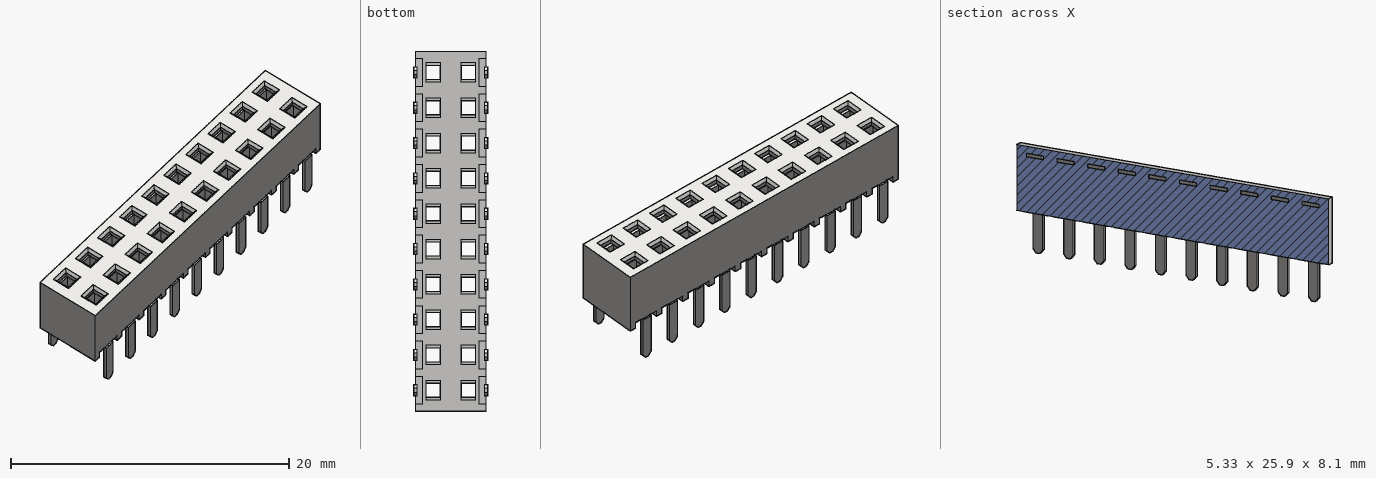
import cadquery as cq

ROW_COUNT = 10
PITCH = 2.54
COLUMN_SIDES = (-1, 1)
row_positions = [(row - (ROW_COUNT - 1) / 2) * PITCH for row in range(ROW_COUNT)]

HOUSING_WIDTH = 2 * PITCH
HOUSING_LENGTH = 25.9
HOUSING_HEIGHT = 5.0

SOCKET_SIZE = 1.0
LEAD_IN_DEPTH = 0.2
THROAT_DEPTH = 0.55
THROAT_BOTTOM = HOUSING_HEIGHT - THROAT_DEPTH

CHAMBER_LENGTH = 1.4
CHAMBER_INNER_STEP = 0.05

CONTACT_THICKNESS = 0.25
CONTACT_DEPTH = 0.8
CONTACT_TOP = HOUSING_HEIGHT - CONTACT_DEPTH

NOTCH_LENGTH = 2.0
NOTCH_HEIGHT = 0.5
NOTCH_DEPTH = (HOUSING_WIDTH - PITCH - SOCKET_SIZE) / 2 - CONTACT_THICKNESS

PIN_THICKNESS = 0.25
PIN_WIDTH = 0.8
PIN_DROP = 3.1
TIP_HEIGHT = 0.3
TIP_WIDTH = 0.3


def grid_points(column_offset):
    return [(side * column_offset, y) for side in COLUMN_SIDES for y in row_positions]


def make_housing():
    return cq.Workplane("XY").box(
        HOUSING_WIDTH, HOUSING_LENGTH, HOUSING_HEIGHT, centered=(True, True, False)
    )


def make_throats():
    return (
        cq.Workplane("XY")
        .pushPoints(grid_points(PITCH / 2))
        .rect(SOCKET_SIZE, SOCKET_SIZE)
        .extrude(HOUSING_HEIGHT)
    )


def make_lead_ins():
    top_size = SOCKET_SIZE + 2 * LEAD_IN_DEPTH
    lead_in = (
        cq.Workplane("XY", origin=(0, 0, HOUSING_HEIGHT - LEAD_IN_DEPTH))
        .rect(SOCKET_SIZE, SOCKET_SIZE)
        .workplane(offset=LEAD_IN_DEPTH)
        .rect(top_size, top_size)
        .loft(ruled=True)
        .val()
    )
    places = grid_points(PITCH / 2)
    return cq.Workplane("XY").pushPoints(places).eachpoint(lambda place: lead_in.moved(place))


def chamber_blocks(inner_edge, outer_edge, bottom):
    """One block per socket, between two distances from the middle plane X = 0."""
    return (
        cq.Workplane("XY", origin=(0, 0, bottom))
        .pushPoints(grid_points((inner_edge + outer_edge) / 2))
        .rect(outer_edge - inner_edge, CHAMBER_LENGTH)
        .extrude(THROAT_BOTTOM - bottom)
    )


def make_chambers():
    """Space below each throat, stepped on its outer side by the contact ledge."""
    inner_edge = PITCH / 2 - SOCKET_SIZE / 2 - CHAMBER_INNER_STEP
    ledge_front = PITCH / 2 + SOCKET_SIZE / 2
    ledge_back = ledge_front + CONTACT_THICKNESS
    shaft = chamber_blocks(inner_edge, ledge_front, 0)
    ledge_space = chamber_blocks(inner_edge, ledge_back, CONTACT_TOP)
    return shaft.union(ledge_space)


def make_notches():
    return (
        cq.Workplane("XY")
        .pushPoints(grid_points(HOUSING_WIDTH / 2))
        .rect(2 * NOTCH_DEPTH, NOTCH_LENGTH)
        .extrude(NOTCH_HEIGHT)
    )


def make_pins():
    """Blades with a tapered tip, rising to the top of the notches."""
    half_width = PIN_WIDTH / 2
    half_tip = TIP_WIDTH / 2
    shoulder = TIP_HEIGHT - PIN_DROP
    blade = (
        cq.Workplane("YZ", origin=(-PIN_THICKNESS / 2, 0, 0))
        .moveTo(-half_width, NOTCH_HEIGHT)
        .lineTo(-half_width, shoulder)
        .lineTo(-half_tip, -PIN_DROP)
        .lineTo(half_tip, -PIN_DROP)
        .lineTo(half_width, shoulder)
        .lineTo(half_width, NOTCH_HEIGHT)
        .close()
        .extrude(PIN_THICKNESS)
        .val()
    )
    places = grid_points(HOUSING_WIDTH / 2)
    return cq.Workplane("XY").pushPoints(places).eachpoint(lambda place: blade.moved(place))


housing = make_housing()
for cutter in (make_throats(), make_lead_ins(), make_chambers(), make_notches()):
    housing = housing.cut(cutter)

result = housing.union(make_pins())